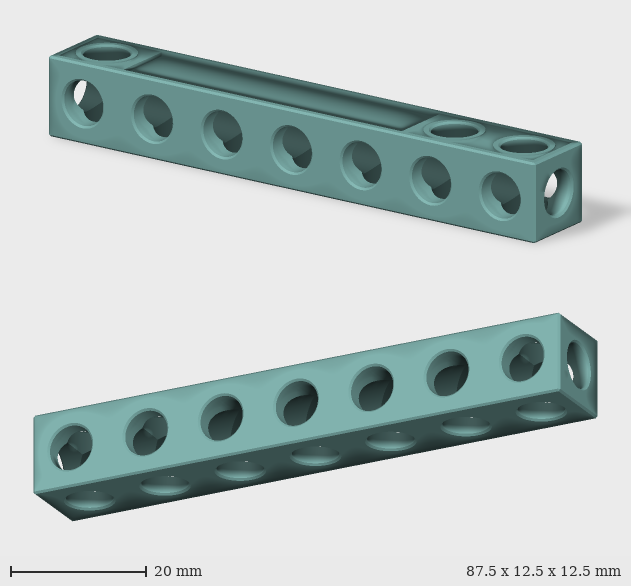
import cadquery as cq

unit_count = 7
length = 87.5
unit = length / unit_count
edge_chamfer = 0.31
hole_diameter = 7.0
hole_chamfer = 0.31
collar_diameter = 9.2
rim_width = 1.1
end_panel_depth = 0.2
label_panel_depth = 0.8
top_hole_positions = [0, 5, 6]
label_first_unit = 1
label_last_unit = 4

top = unit / 2
panel_length = length - 2 * rim_width
panel_width = unit - 2 * rim_width
label_length = (label_last_unit - label_first_unit + 1) * unit


def cell_centre(index):
    """X position of the centre of a unit cell."""
    return (index + 0.5) * unit - length / 2


def make_beam():
    return cq.Workplane("XY").box(length, unit, unit).edges().chamfer(edge_chamfer)


def make_end_panels():
    """Shallow pocket over the whole top, with a raised collar kept around each vertical hole."""
    pocket = (
        cq.Workplane("XY", origin=(0, 0, top - end_panel_depth))
        .rect(panel_length, panel_width)
        .extrude(end_panel_depth)
    )
    collars = (
        cq.Workplane("XY", origin=(0, 0, top - end_panel_depth))
        .pushPoints([(cell_centre(i), 0) for i in top_hole_positions])
        .circle(collar_diameter / 2)
        .extrude(end_panel_depth)
    )
    return pocket.cut(collars)


def make_label_panel():
    """Deeper pocket between the end panels."""
    centre_x = (cell_centre(label_first_unit) + cell_centre(label_last_unit)) / 2
    return (
        cq.Workplane("XY", origin=(centre_x, 0, top - label_panel_depth))
        .rect(label_length, panel_width)
        .extrude(label_panel_depth)
    )


def make_half_hole(centre, direction, depth):
    """Cutter running from a centre out to a face at the given depth, chamfered at the mouth."""
    axis = cq.Vector(*direction)
    mouth = cq.Vector(*centre) + axis * depth
    bore_radius = hole_diameter / 2
    bore = cq.Solid.makeCylinder(bore_radius, depth, mouth, axis * -1)
    cone = cq.Solid.makeCone(bore_radius + hole_chamfer, bore_radius, hole_chamfer, mouth, axis * -1)
    return cq.Workplane(bore).union(cq.Workplane(cone))


def make_through_hole(centre, direction, depth):
    """Cutter for a through hole with both mouths chamfered."""
    opposite = tuple(-component for component in direction)
    first_half = make_half_hole(centre, direction, depth / 2)
    return first_half.union(make_half_hole(centre, opposite, depth / 2))


def make_bottom_hole(x):
    """Cutter for a hole from the bottom face that ends in the crossing bores below the label panel."""
    return make_half_hole((x, 0, 0), (0, 0, -1), unit / 2)


result = make_beam().cut(make_end_panels()).cut(make_label_panel())

for index in range(unit_count):
    result = result.cut(make_through_hole((cell_centre(index), 0, 0), (0, 1, 0), unit))

for index in top_hole_positions:
    result = result.cut(make_through_hole((cell_centre(index), 0, 0), (0, 0, 1), unit))

for index in range(label_first_unit, label_last_unit + 1):
    result = result.cut(make_bottom_hole(cell_centre(index)))

result = result.cut(make_through_hole((0, 0, 0), (1, 0, 0), length))